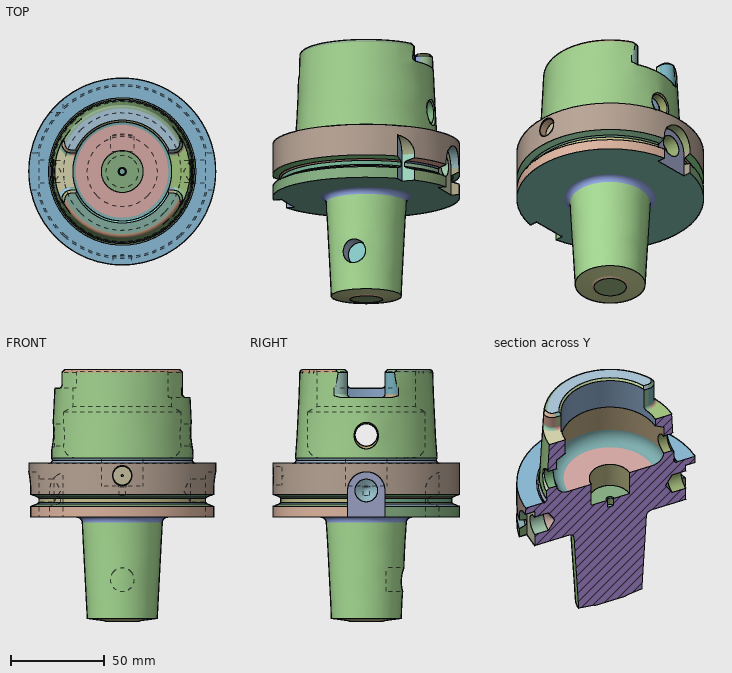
import cadquery as cq
import math


taper_top = 50.0
taper_bottom = 2.7
taper_bottom_radius = 37.9
taper_slope = 1 / 20
taper_top_radius = taper_bottom_radius - (taper_top - taper_bottom) * taper_slope
taper_rim_fillet = 2.0
relief_radius = 37.4
relief_height = 1.3
relief_foot_radius = 38.6
face_groove_radius = 39.4
face_groove_depth = 0.3

flange_radius = 49.98
flange_bottom = -29.0
groove_z = -20.0
groove_floor_radius = 45.7
groove_floor_half = 1.1
groove_knee_radius = 46.5
groove_knee_half = 1.9
groove_mouth_half = 3.2

overall_length = 134.9
nose_z = taper_top - overall_length
shank_top_radius = 21.5
shank_fillet = 3.0
shank_bottom = -83.1
shank_bottom_radius = 18.8
nose_step_z = -84.3
nose_step_radius = 9.8
nose_radius = 8.6

bore_radius = 26.5
bore_chamfer = 1.1
bore_end = 30.1
cavity_radius = 31.4
clamp_angle = 60
clamp_end = bore_end - (cavity_radius - bore_radius) / math.tan(math.radians(clamp_angle))
cavity_floor = 2.7
cavity_fillet = 6.6
thread_radius = 11.2
thread_depth = 15.0
coolant_radius = 1.6
coolant_chamfer = 0.5
coolant_depth = 5.0

slot_half_width = 10.0
slot_corner_radius = 4.9
slot_edge = 1.6
shallow_slot_depth = 10.0
deep_slot_depth = 15.0
slot_floor_taper_radius = taper_top_radius + shallow_slot_depth * taper_slope

access_z = 15.0
access_radius = 6.0
countersink_start = 36.2
countersink_end = 39.1

keyway_z = -14.7
keyway_radius = 10.0
keyway_floor = 44.5
notch_inset = 31.5
index_hole_radius = 6.1
index_hole_depth = 8.1
drill_point_angle = 118

chip_z = -6.7
chip_radius = 5.0
chip_chamfer = 0.4
chip_depth = 5.0
chip_dimple_radius = 0.5
chip_dimple_depth = 0.5

screw_z = -62.3
screw_radius = 6.3
screw_depth = 10.8


def make_body():
    """Revolve the outer profile and round the taper rim."""
    profile = (
        cq.Workplane("XZ")
        .moveTo(0, taper_top)
        .lineTo(taper_top_radius, taper_top)
        .lineTo(taper_bottom_radius, taper_bottom)
        .lineTo(relief_radius, relief_height)
        .lineTo(relief_foot_radius, -face_groove_depth)
        .lineTo(face_groove_radius, -face_groove_depth)
        .lineTo(face_groove_radius, 0)
        .lineTo(flange_radius, 0)
        .lineTo(flange_radius, groove_z + groove_mouth_half)
        .lineTo(groove_knee_radius, groove_z + groove_knee_half)
        .lineTo(groove_floor_radius, groove_z + groove_floor_half)
        .lineTo(groove_floor_radius, groove_z - groove_floor_half)
        .lineTo(groove_knee_radius, groove_z - groove_knee_half)
        .lineTo(flange_radius, groove_z - groove_mouth_half)
        .lineTo(flange_radius, flange_bottom)
        .lineTo(shank_top_radius + shank_fillet, flange_bottom)
        .radiusArc((shank_top_radius, flange_bottom - shank_fillet), -shank_fillet)
        .lineTo(shank_bottom_radius, shank_bottom)
        .lineTo(nose_step_radius, nose_step_z)
        .lineTo(nose_radius, nose_z)
        .lineTo(0, nose_z)
        .close()
    )
    return profile.revolve(360, (0, 0), (0, 1)).faces(">Z").edges().fillet(taper_rim_fillet)


def make_cavity():
    """Bore, undercut for the clamping jaws, tube thread and coolant hole."""
    thread_floor = cavity_floor - thread_depth
    profile = (
        cq.Workplane("XZ")
        .moveTo(0, taper_top)
        .lineTo(bore_radius + bore_chamfer, taper_top)
        .lineTo(bore_radius, taper_top - bore_chamfer)
        .lineTo(bore_radius, bore_end)
        .lineTo(cavity_radius, clamp_end)
        .lineTo(cavity_radius, cavity_floor + cavity_fillet)
        .radiusArc((cavity_radius - cavity_fillet, cavity_floor), cavity_fillet)
        .lineTo(thread_radius, cavity_floor)
        .lineTo(thread_radius, thread_floor)
        .lineTo(coolant_radius + coolant_chamfer, thread_floor)
        .lineTo(coolant_radius, thread_floor - coolant_chamfer)
        .lineTo(coolant_radius, thread_floor - coolant_depth)
        .lineTo(0, thread_floor - coolant_depth)
        .close()
    )
    return profile.revolve(360, (0, 0), (0, 1))


def slot_outline(z, growth):
    """Plan of a drive slot towards +X, with its walls moved out by growth.

    Each wall ends in an arc that runs tangent into the taper at the shallow slot's floor.
    """
    half = slot_half_width + growth
    corner = slot_corner_radius - growth
    centre_y = slot_half_width + slot_corner_radius
    centre_distance = slot_floor_taper_radius - slot_corner_radius
    centre_x = math.sqrt(centre_distance**2 - centre_y**2)
    cos_exit = centre_x / centre_distance
    sin_exit = centre_y / centre_distance
    tangent_x = centre_x + corner * cos_exit
    tangent_y = centre_y + corner * sin_exit
    outer_x = flange_radius * cos_exit
    outer_y = flange_radius * sin_exit
    return (
        cq.Workplane("XY", origin=(0, 0, z))
        .moveTo(0, -half)
        .lineTo(centre_x, -half)
        .radiusArc((tangent_x, -tangent_y), corner)
        .lineTo(outer_x, -outer_y)
        .lineTo(outer_x, outer_y)
        .lineTo(tangent_x, tangent_y)
        .radiusArc((centre_x, half), corner)
        .lineTo(0, half)
        .close()
    )


def make_drive_slot(depth):
    """Drive slot with a rounded floor edge and a chamfered rim."""
    slot = slot_outline(taper_top - depth, 0).extrude(depth).faces("<Z").edges().fillet(slot_edge)
    rim = slot_outline(taper_top, slot_edge).extrude(-slot_edge, taper=math.degrees(math.atan(1)))
    return slot.union(rim)


def make_access_hole():
    """Clamping access hole towards +X with a 45 degree countersink."""
    mouth_radius = access_radius + countersink_end - countersink_start
    profile = (
        cq.Workplane("XZ")
        .moveTo(0, access_z)
        .lineTo(0, access_z + access_radius)
        .lineTo(countersink_start, access_z + access_radius)
        .lineTo(countersink_end, access_z + mouth_radius)
        .lineTo(countersink_end, access_z)
        .close()
    )
    return profile.revolve(360, (0, access_z), (1, access_z))


def make_round_topped_slot(floor_x, centre_y):
    """Slot cut towards +X from floor_x, round at its top and open at the flange bottom."""
    return (
        cq.Workplane("YZ", origin=(floor_x, centre_y, keyway_z))
        .moveTo(-keyway_radius, 0)
        .threePointArc((0, keyway_radius), (keyway_radius, 0))
        .lineTo(keyway_radius, flange_bottom - keyway_z)
        .lineTo(-keyway_radius, flange_bottom - keyway_z)
        .close()
        .extrude(flange_radius - floor_x)
    )


def make_index_hole():
    """Drilled hole in the +X keyway floor with a conical end."""
    cone_end = keyway_floor - index_hole_depth
    cone_length = index_hole_radius / math.tan(math.radians(drill_point_angle / 2))
    profile = (
        cq.Workplane("XZ")
        .moveTo(keyway_floor, keyway_z)
        .lineTo(keyway_floor, keyway_z + index_hole_radius)
        .lineTo(cone_end, keyway_z + index_hole_radius)
        .lineTo(cone_end - cone_length, keyway_z)
        .close()
    )
    return profile.revolve(360, (0, keyway_z), (1, keyway_z))


def make_chip_pocket():
    """Round pocket on the -Y side of the flange with a dimple in its floor."""
    floor = flange_radius - chip_depth
    profile = (
        cq.Workplane("YZ")
        .moveTo(-flange_radius, chip_z)
        .lineTo(-flange_radius, chip_z + chip_radius + chip_chamfer)
        .lineTo(-flange_radius + chip_chamfer, chip_z + chip_radius)
        .lineTo(-floor, chip_z + chip_radius)
        .lineTo(-floor, chip_z + chip_dimple_radius)
        .lineTo(-floor + chip_dimple_depth, chip_z + chip_dimple_radius)
        .lineTo(-floor + chip_dimple_depth, chip_z)
        .close()
    )
    return profile.revolve(360, (0, chip_z), (1, chip_z))


def make_screw_hole():
    """Blind set screw hole on the +Y side of the shank."""
    start_y = shank_top_radius - screw_depth
    return cq.Workplane("XZ", origin=(0, start_y, screw_z)).circle(screw_radius).extrude(-screw_depth)


result = make_body().cut(make_cavity())

slot_depths = {0: deep_slot_depth, 180: shallow_slot_depth}
side_cuts = [make_access_hole(), make_round_topped_slot(keyway_floor, 0), make_index_hole()]
for angle, slot_depth in slot_depths.items():
    for cutter in [make_drive_slot(slot_depth)] + side_cuts:
        result = result.cut(cutter.rotate((0, 0, 0), (0, 0, 1), angle))

notch = make_round_topped_slot(notch_inset, -(notch_inset + keyway_radius))
result = result.cut(notch.rotate((0, 0, 0), (0, 0, 1), 180))
result = result.cut(make_chip_pocket()).cut(make_screw_hole())